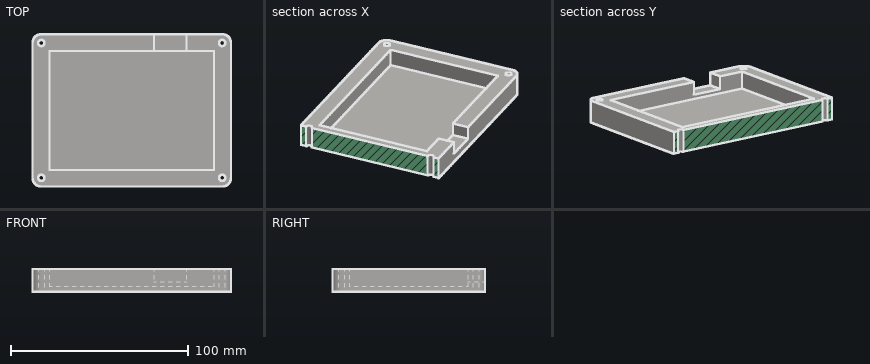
import cadquery as cq

LENGTH = 112.0
WIDTH = 86.0
HEIGHT = 13.0
CORNER_RADIUS = 5.0
WALL = 9.5
FLOOR_THICKNESS = 3.0
SCREW_HOLE_DIAMETER = 3.4
NOTCH_START_X = 12.5
NOTCH_WIDTH = 18.5
NOTCH_DEPTH = 7.5

POCKET_LENGTH = LENGTH - 2 * WALL
POCKET_WIDTH = WIDTH - 2 * WALL
POCKET_DEPTH = HEIGHT - FLOOR_THICKNESS
HOLE_SPACING_X = LENGTH - 2 * CORNER_RADIUS
HOLE_SPACING_Y = WIDTH - 2 * CORNER_RADIUS


def tray_block():
    """Solid block standing on Z = 0, with rounded vertical corners."""
    block = cq.Workplane("XY").box(LENGTH, WIDTH, HEIGHT, centered=(True, True, False))
    return block.edges("|Z").fillet(CORNER_RADIUS)


def pocket():
    """Rectangular recess open at the top."""
    floor = cq.Workplane("XY").workplane(offset=FLOOR_THICKNESS)
    return floor.rect(POCKET_LENGTH, POCKET_WIDTH).extrude(POCKET_DEPTH)


def screw_holes():
    """Through holes, each on the axis of a rounded corner."""
    corners = cq.Workplane("XY").rect(HOLE_SPACING_X, HOLE_SPACING_Y, forConstruction=True)
    return corners.vertices().circle(SCREW_HOLE_DIAMETER / 2).extrude(HEIGHT)


def wall_notch():
    """Notch from the top of the +Y wall, joining the pocket to the outside."""
    notch = cq.Workplane("XY").box(NOTCH_WIDTH, WALL, NOTCH_DEPTH, centered=False)
    return notch.translate((NOTCH_START_X, POCKET_WIDTH / 2, HEIGHT - NOTCH_DEPTH))


result = tray_block().cut(pocket()).cut(screw_holes()).cut(wall_notch())